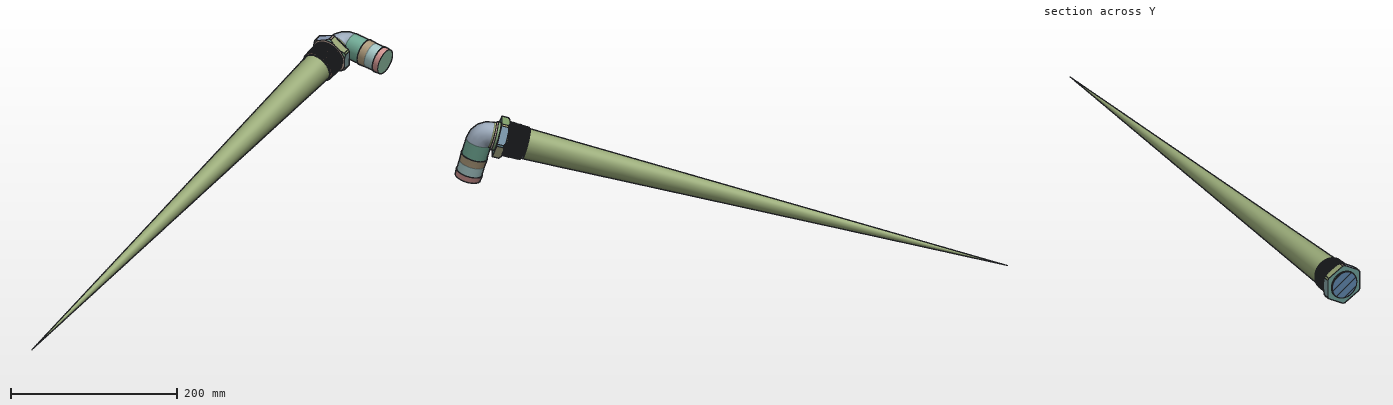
import cadquery as cq
import math


overall_length = 673.0
overall_width = 84.0
pipe_diameter = 31.5
pipe_radius = pipe_diameter / 2
barb_diameter = 33.0
tip_y = barb_diameter / 2 - overall_length

hex_flats = 45.0
hex_corners = hex_flats / math.cos(math.pi / 6)
hex_turned_diameter = 50.5
hex_bevel = 2.0
hex_start = -19.5
hex_thickness = 10.0
hex_end = hex_start - hex_thickness

bend_radius = 12.0
shoulder_diameter = 35.0
shoulder_start = -14.0
shoulder_cone_length = 2.0

pipe_end = overall_width - hex_flats / 2
barb_starts = (31.5, 54.0)
barb_length = 10.0

thread_diameter = 42.5
thread_pitch = 2.2
thread_depth = 1.75
thread_length = 26.0
thread_end = hex_end - thread_length
thread_taper = 1 / 32
crest_flat = 0.3
root_flat = 0.4
root_overlap = 0.35
root_radius_start = thread_diameter / 2 - thread_depth
root_radius_end = root_radius_start - thread_taper * thread_length

spike_diameter = 38.0


def rod_along_y(diameter, start, end):
    """Round rod on the Y axis, running in -Y from start to end."""
    return cq.Workplane("XZ", origin=(0, start, 0)).circle(diameter / 2).extrude(start - end)


def turned_on_y(points):
    """Solid of revolution about the Y axis from (radius, y) points."""
    return cq.Workplane("XY").polyline(points).close().revolve(360, (0, 0, 0), (0, 1, 0))


def make_elbow():
    """Quarter bend so tight that its section is cut off at the bend axis."""
    half_cut = math.sqrt(pipe_radius**2 - bend_radius**2)
    section = (
        cq.Workplane("XZ", origin=(0, -bend_radius, 0))
        .moveTo(bend_radius, half_cut)
        .threePointArc((-pipe_radius, 0), (bend_radius, -half_cut))
        .close()
    )
    return section.revolve(90, (bend_radius, 0), (bend_radius, -1))


def make_hose_pipe():
    """Pipe on the X axis with barbs that are steep towards the elbow."""
    profile = cq.Workplane("XY").moveTo(bend_radius, 0).lineTo(bend_radius, pipe_radius)
    for barb_start in barb_starts:
        barb_end = min(barb_start + barb_length, pipe_end)
        profile = (
            profile.lineTo(barb_start, pipe_radius)
            .lineTo(barb_start, barb_diameter / 2)
            .lineTo(barb_end, pipe_radius)
        )
    return profile.lineTo(pipe_end, 0).close().revolve(360, (0, 0, 0), (1, 0, 0))


def make_collar():
    """Hexagon with corners up and down, its corners turned round and bevelled beside the thread."""
    hexagon = (
        cq.Workplane("XZ", origin=(0, hex_start, 0))
        .transformed(rotate=(0, 0, 90))
        .polygon(6, hex_corners)
        .extrude(hex_thickness)
    )
    round_blank = rod_along_y(hex_turned_diameter, hex_start, hex_end)
    round_blank = round_blank.faces("<Y").edges().chamfer(hex_bevel)
    return hexagon.intersect(round_blank)


def make_shoulder():
    """Cone that widens from the neck to a short round against the collar."""
    cone_end = shoulder_start - shoulder_cone_length
    return turned_on_y(
        [
            (0, shoulder_start),
            (pipe_radius, shoulder_start),
            (shoulder_diameter / 2, cone_end),
            (shoulder_diameter / 2, hex_start),
            (0, hex_start),
        ]
    )


def make_thread():
    """Tapered core with a helical ridge, narrowing away from the collar."""
    core = turned_on_y(
        [(0, hex_end), (root_radius_start, hex_end), (root_radius_end, thread_end), (0, thread_end)]
    )
    ridge_path = cq.Wire.makeHelix(
        thread_pitch,
        thread_length - thread_pitch,
        root_radius_start,
        angle=-math.degrees(math.atan(thread_taper)),
    )
    half_base = (thread_pitch - root_flat) / 2
    ridge_section = cq.Workplane("XZ").polyline(
        [
            (root_radius_start - root_overlap, -half_base),
            (root_radius_start, -half_base),
            (root_radius_start + thread_depth, -crest_flat / 2),
            (root_radius_start + thread_depth, crest_flat / 2),
            (root_radius_start, half_base),
            (root_radius_start - root_overlap, half_base),
        ]
    ).close()
    ridge = ridge_section.sweep(cq.Workplane(obj=ridge_path), isFrenet=True)
    ridge = ridge.rotate((0, 0, 0), (1, 0, 0), 90).translate((0, hex_end - thread_pitch / 2, 0))
    return core.union(ridge)


spike = turned_on_y([(0, thread_end), (spike_diameter / 2, thread_end), (0, tip_y)])
neck = rod_along_y(pipe_diameter, -bend_radius, shoulder_start)

result = make_thread()
for piece in (make_collar(), spike, make_shoulder(), neck, make_elbow(), make_hose_pipe()):
    result = result.union(piece)